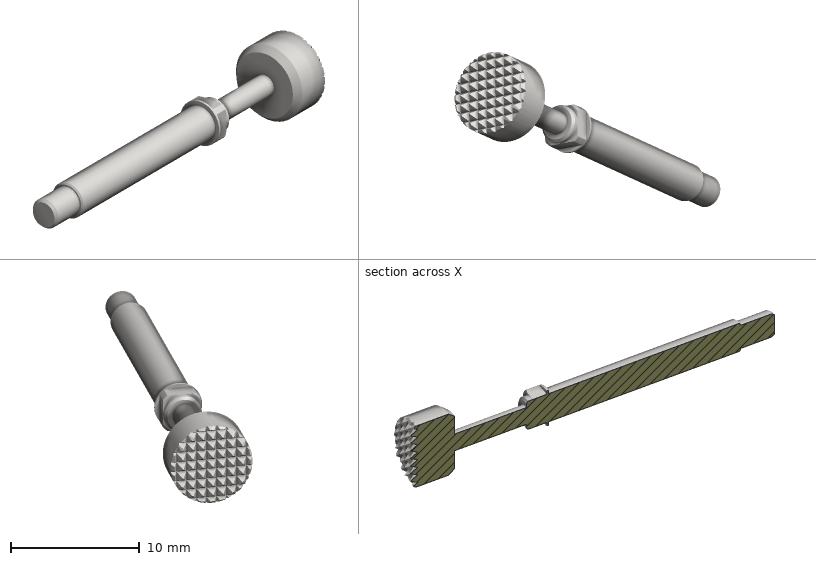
import cadquery as cq
import math


overall_length = 32.3
tail_length = 3.0
flange_start = 20.0
flats_start = 20.2
flats_end = 21.4
sleeve_end = 22.0
head_length = 4.0

tail_radius = 2.5 / 2
sleeve_radius = 3.0 / 2
flange_radius = 3.78 / 2
stem_radius = 1.8 / 2
head_radius = 6.5 / 2

tail_chamfer = 0.2
tail_chamfer_length = 0.25
sleeve_chamfer = 0.13
collar_chamfer = 0.2
corner_chamfer = 0.15
corner_chamfer_length = 0.1
head_back_chamfer = 0.5
head_back_chamfer_length = 0.58
head_rim_chamfer = 0.52

rows_beside_center = 3
outer_row_offset = 2.4
tooth_pitch = outer_row_offset / rows_beside_center
groove_half_angle = math.radians(30)
groove_depth = tooth_pitch / 2 / math.tan(groove_half_angle)
groove_overshoot = 0.32


def body_of_revolution():
    """Tail, sleeve, flange, collar, stem and blank head as one turned profile."""
    head_start = overall_length - head_length
    profile = [
        (0, 0),
        (tail_radius - tail_chamfer, 0),
        (tail_radius, tail_chamfer_length),
        (tail_radius, tail_length),
        (sleeve_radius - sleeve_chamfer, tail_length),
        (sleeve_radius, tail_length + sleeve_chamfer),
        (sleeve_radius, flange_start),
        (flange_radius, flange_start),
        (flange_radius, flats_end - corner_chamfer_length),
        (flange_radius - corner_chamfer, flats_end),
        (sleeve_radius, flats_end),
        (sleeve_radius, sleeve_end - collar_chamfer),
        (sleeve_radius - collar_chamfer, sleeve_end),
        (stem_radius, sleeve_end),
        (stem_radius, head_start),
        (head_radius - head_back_chamfer, head_start),
        (head_radius, head_start + head_back_chamfer_length),
        (head_radius, overall_length - head_rim_chamfer),
        (head_radius - head_rim_chamfer, overall_length),
        (0, overall_length),
    ]
    return cq.Workplane("XY").polyline(profile).close().revolve(360, (0, 0), (0, 1))


def wrench_flats_cutter():
    """Frame around a square, which leaves four flats level with the sleeve."""
    return (
        cq.Workplane("XZ", origin=(0, flats_start, 0))
        .rect(4 * flange_radius, 4 * flange_radius)
        .rect(2 * sleeve_radius, 2 * sleeve_radius)
        .extrude(flats_start - flats_end)
    )


def groove_cutter(offset):
    """V groove across the head, parallel to Z and centred at x = offset."""
    top = overall_length + groove_overshoot
    half_width = (groove_depth + groove_overshoot) * math.tan(groove_half_angle)
    return (
        cq.Workplane("XY")
        .moveTo(offset, overall_length - groove_depth)
        .lineTo(offset + half_width, top)
        .lineTo(offset - half_width, top)
        .close()
        .extrude(head_radius + groove_overshoot, both=True)
    )


result = body_of_revolution().cut(wrench_flats_cutter())

groove_count = 2 * rows_beside_center + 2
for index in range(groove_count):
    groove = groove_cutter((index - (groove_count - 1) / 2) * tooth_pitch)
    result = result.cut(groove)
    result = result.cut(groove.rotate((0, 0, 0), (0, 1, 0), 90))